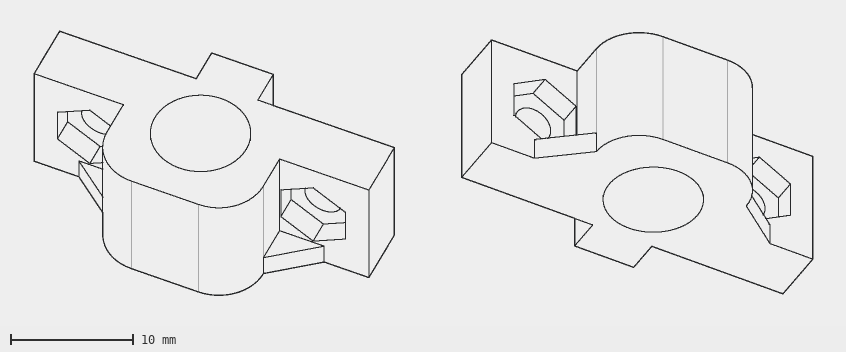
import cadquery as cq

plate_length = 30.0
height = 11.0
plate_thickness = 5.0
plate_front = 0.18
plate_back = plate_front + plate_thickness

block_width = 14.0
block_front = -7.0
corner_radius = 4.0
tab_width = 5.52
tab_back = 8.22
bore_diameter = 8.2

screw_spacing = 20.0
screw_diameter = 3.3
nut_across_corners = 6.7
nut_depth = 2.0
nut_sides = 6

gusset_length = 4.0
gusset_height = 2.0


def box_between(width, y_front, y_back):
    """Full-height box centred on X = 0."""
    depth = y_back - y_front
    box = cq.Workplane("XY").box(width, depth, height, centered=(True, False, False))
    return box.translate((0, y_front, 0))


def gusset(side):
    """Triangle reaching from the plate to the start of the block's corner round."""
    inner = side * block_width / 2
    outer = inner + side * gusset_length
    tip = block_front + corner_radius
    outline = [(inner, plate_front), (outer, plate_front), (inner, tip)]
    return cq.Workplane("XY").polyline(outline).close().extrude(gusset_height)


def screw_cut(side):
    """Through hole along Y with a nut pocket open to the front of the plate."""
    face = cq.Plane(
        origin=(side * screw_spacing / 2, plate_front, height / 2),
        xDir=(0, 0, 1),
        normal=(0, 1, 0),
    )
    hole = cq.Workplane(face).circle(screw_diameter / 2).extrude(plate_thickness)
    pocket = cq.Workplane(face).polygon(nut_sides, nut_across_corners).extrude(nut_depth)
    return hole.union(pocket)


plate = box_between(plate_length, plate_front, plate_back)
block = box_between(block_width, block_front, plate_back).edges("|Z and <Y").fillet(corner_radius)
tab = box_between(tab_width, plate_front, tab_back)
bore = cq.Workplane("XY").circle(bore_diameter / 2).extrude(height)

result = plate.union(block).union(tab)
for side in (-1, 1):
    result = result.union(gusset(side)).cut(screw_cut(side))
result = result.cut(bore)